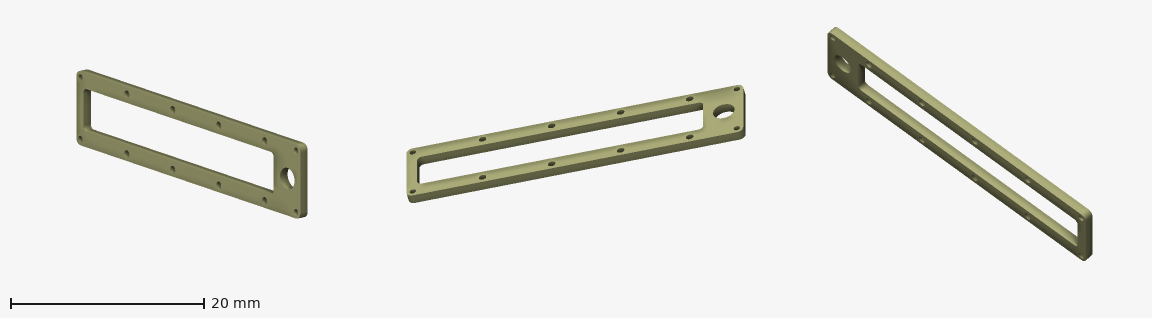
import cadquery as cq

length = 35.9
thickness = 1.0
height = 8.0
corner_radius = 0.7

window_left = -16.8
window_right = 13.68
window_height = 4.55
window_corner_radius = 0.5
window_length = window_right - window_left
window_center_x = (window_left + window_right) / 2

port_diameter = 2.3
port_x = 15.85

corner_hole_diameter = 0.7
corner_hole_x = length / 2 - corner_radius
corner_hole_z = height / 2 - corner_radius

rail_hole_diameter = 0.8
rail_hole_count = 4
rail_hole_pitch = 7.35
rail_hole_first_x = -9.85
rail_hole_z = 3.23


def rounded_block(block_length, block_height, radius):
    """Block through the plate thickness with rounded corners in the XZ plane."""
    return cq.Workplane("XY").box(block_length, thickness, block_height).edges("|Y").fillet(radius)


def through_holes(points, diameter):
    """Cylinders along Y, at (x, z) points, spanning the plate thickness."""
    return cq.Workplane("XZ").pushPoints(points).circle(diameter / 2).extrude(thickness / 2, both=True)


plate = rounded_block(length, height, corner_radius)
window = rounded_block(window_length, window_height, window_corner_radius).translate((window_center_x, 0, 0))

corner_points = [(x, z) for x in (-corner_hole_x, corner_hole_x) for z in (-corner_hole_z, corner_hole_z)]
rail_points = [
    (rail_hole_first_x + i * rail_hole_pitch, z)
    for i in range(rail_hole_count)
    for z in (-rail_hole_z, rail_hole_z)
]

result = (
    plate.cut(window)
    .cut(through_holes([(port_x, 0)], port_diameter))
    .cut(through_holes(corner_points, corner_hole_diameter))
    .cut(through_holes(rail_points, rail_hole_diameter))
)